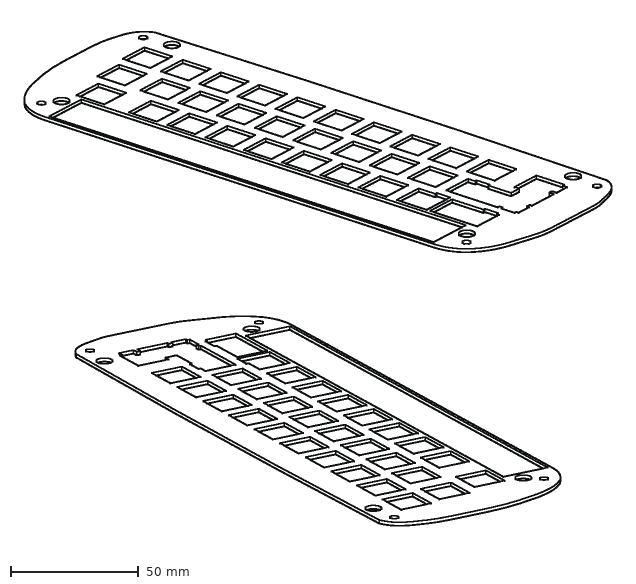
import cadquery as cq

LENGTH = 247.5
HALF_LENGTH = LENGTH / 2
HALF_DEPTH = 45.3
THICKNESS = 1.5

TOP_CORNER = (112.5, 44.0)
SIDE_SHOULDER = (118.8, 39.3)
SIDE_UPPER = (122.5, 29.0)
SIDE_WIDEST = (HALF_LENGTH, 12.4)
SIDE_LOWER = (121.7, -16.0)
LOWER_SHOULDER = (117.3, -31.0)
BOTTOM_CORNER = (110.4, -40.5)
BOTTOM_BEND = (104.2, -44.0)
BOTTOM_EDGE_END = (96.5, -HALF_DEPTH)

KEY_UNIT = 19.0
SWITCH_SIZE = 13.9
TOP_ROW_Y = 23.5
HOME_ROW_Y = TOP_ROW_Y - KEY_UNIT
LOWER_ROW_Y = HOME_ROW_Y - KEY_UNIT

TOP_ROW = [1.0] * 10 + [1.5]
HOME_ROW = [1.25] + [1.0] * 9
LOWER_ROW = [1.75] + [1.0] * 8 + [1.75]

LAYOUT_RIGHT = sum(TOP_ROW) * KEY_UNIT / 2
LAYOUT_LEFT = -LAYOUT_RIGHT

WIDE_ENTER = 2.25
TALL_ENTER = 1.25
WIDE_SHIFT = 2.75

STABILIZER_SPACING = 24.0
STABILIZER_WIDTH = 6.7
STABILIZER_REACH = 8.0

SPACE_BAR_WIDTH = 191.5
SPACE_BAR_TOP = -23.5
SPACE_BAR_BOTTOM = -43.8

LARGE_HOLE_DIAMETER = 6.5
LARGE_HOLES = [(100.0, 38.8), (101.0, -29.5)]
SMALL_HOLE_DIAMETER = 3.5
SMALL_HOLES = [(113.0, 37.4), (106.0, -36.0)]


def mirrored(point):
    """Return the point reflected to the -X side."""
    return (-point[0], point[1])


def plate_blank():
    """Rounded plate with a slightly crowned back edge."""
    right_side = [
        TOP_CORNER,
        SIDE_SHOULDER,
        SIDE_UPPER,
        SIDE_WIDEST,
        SIDE_LOWER,
        LOWER_SHOULDER,
        BOTTOM_CORNER,
    ]
    left_side = [mirrored(point) for point in reversed(right_side)]
    right_tangents = [(0, -1) if point == SIDE_WIDEST else None for point in right_side]
    left_tangents = [(0, 1) if point == mirrored(SIDE_WIDEST) else None for point in left_side]
    return (
        cq.Workplane("XY")
        .moveTo(*mirrored(TOP_CORNER))
        .threePointArc((0, HALF_DEPTH), TOP_CORNER)
        .spline(right_side, tangents=right_tangents)
        .threePointArc(BOTTOM_BEND, BOTTOM_EDGE_END)
        .lineTo(*mirrored(BOTTOM_EDGE_END))
        .threePointArc(mirrored(BOTTOM_BEND), mirrored(BOTTOM_CORNER))
        .spline(left_side, tangents=left_tangents)
        .close()
        .extrude(THICKNESS)
    )


def opening(left, right, bottom, top):
    """Rectangular cutter through the plate."""
    return (
        cq.Workplane("XY")
        .center((left + right) / 2, (bottom + top) / 2)
        .rect(right - left, top - bottom)
        .extrude(THICKNESS)
    )


def switch_opening(x, y):
    """Square cutter for one key switch."""
    half = SWITCH_SIZE / 2
    return opening(x - half, x + half, y - half, y + half)


def row_openings(key_widths, y):
    """Switch cutters for keys set side by side from the left of the layout."""
    cutters = []
    left = LAYOUT_LEFT
    for width in key_widths:
        key_width = width * KEY_UNIT
        cutters.append(switch_opening(left + key_width / 2, y))
        left += key_width
    return cutters


def right_aligned_center(key_width):
    """X of the center of a key that ends at the right edge of the layout."""
    return LAYOUT_RIGHT - key_width * KEY_UNIT / 2


def wide_key_openings(x, y):
    """Switch cutter with a stabilizer cutter to its left and right."""
    cutters = [switch_opening(x, y)]
    for side in (-1, 1):
        stabilizer_x = x + side * STABILIZER_SPACING / 2
        cutters.append(
            opening(
                stabilizer_x - STABILIZER_WIDTH / 2,
                stabilizer_x + STABILIZER_WIDTH / 2,
                y - SWITCH_SIZE / 2,
                y + STABILIZER_REACH,
            )
        )
    return cutters


def tall_key_openings(x, y):
    """Wide key cutters turned a quarter turn, stabilizers above and below."""
    return [
        cutter.rotate((x, y, 0), (x, y, 1), 90)
        for cutter in wide_key_openings(x, y)
    ]


def mounting_holes(points, diameter):
    """Round cutters at the points and their mirror images."""
    return (
        cq.Workplane("XY")
        .pushPoints(points + [mirrored(point) for point in points])
        .circle(diameter / 2)
        .extrude(THICKNESS)
    )


cutters = row_openings(TOP_ROW, TOP_ROW_Y)
cutters += row_openings(HOME_ROW, HOME_ROW_Y)
cutters += row_openings(LOWER_ROW, LOWER_ROW_Y)
cutters += wide_key_openings(right_aligned_center(WIDE_ENTER), HOME_ROW_Y)
cutters += wide_key_openings(right_aligned_center(WIDE_SHIFT), LOWER_ROW_Y)
cutters += tall_key_openings(right_aligned_center(TALL_ENTER), (TOP_ROW_Y + HOME_ROW_Y) / 2)
cutters.append(opening(-SPACE_BAR_WIDTH / 2, SPACE_BAR_WIDTH / 2, SPACE_BAR_BOTTOM, SPACE_BAR_TOP))
cutters.append(mounting_holes(LARGE_HOLES, LARGE_HOLE_DIAMETER))
cutters.append(mounting_holes(SMALL_HOLES, SMALL_HOLE_DIAMETER))

result = plate_blank()
for cutter in cutters:
    result = result.cut(cutter)

result = cq.Workplane(max(result.solids().vals(), key=lambda solid: solid.Volume()))